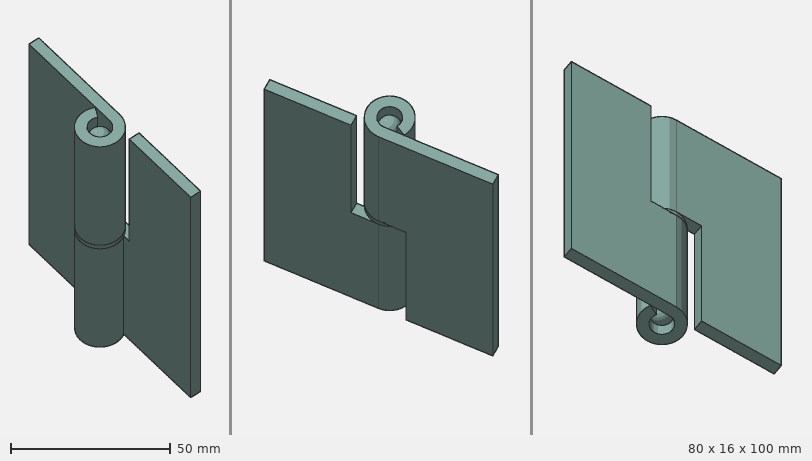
import cadquery as cq
import math

HEIGHT = 100.0
WIDTH = 80.0
THICKNESS = 4.0
PIN_RADIUS = 4.0
WASHER_THICKNESS = 1.8
NOTCH_EDGE = 9.6
CURL_GAP = 0.1
PIN_END_RECESS = 2.0

KNUCKLE_RADIUS = PIN_RADIUS + THICKNESS
KNUCKLE_END = WASHER_THICKNESS / 2
CURL_END_ANGLE = 180 - math.degrees(math.asin((PIN_RADIUS - CURL_GAP) / KNUCKLE_RADIUS))


def polar(radius, angle):
    """Point at a radius and an angle in degrees around the hinge axis."""
    return (radius * math.cos(math.radians(angle)), radius * math.sin(math.radians(angle)))


def make_upper_leaf():
    """Plate on the -X side, with its upper half rolled into an open knuckle."""
    half_width = WIDTH / 2
    half_height = HEIGHT / 2
    curl_middle_angle = (90 + CURL_END_ANGLE - 360) / 2

    rolled_half = (
        cq.Workplane("XY", origin=(0, 0, KNUCKLE_END))
        .moveTo(-half_width, KNUCKLE_RADIUS)
        .lineTo(0, KNUCKLE_RADIUS)
        .threePointArc(polar(KNUCKLE_RADIUS, curl_middle_angle), polar(KNUCKLE_RADIUS, CURL_END_ANGLE))
        .lineTo(*polar(PIN_RADIUS, CURL_END_ANGLE))
        .threePointArc(polar(PIN_RADIUS, curl_middle_angle), (0, PIN_RADIUS))
        .lineTo(-half_width, PIN_RADIUS)
        .close()
        .extrude(half_height - KNUCKLE_END)
    )
    flat_half = (
        cq.Workplane("XY", origin=(-half_width, PIN_RADIUS, -half_height))
        .box(half_width - NOTCH_EDGE, THICKNESS, half_height + KNUCKLE_END, centered=False)
    )
    return rolled_half.union(flat_half)


def make_lower_leaf():
    """The same leaf turned half a revolution about Y, so its knuckle is below."""
    return make_upper_leaf().rotate((0, 0, 0), (0, 1, 0), 180)


def make_washer():
    """Ring that fills the space between the two knuckles."""
    return (
        cq.Workplane("XY", origin=(0, 0, -KNUCKLE_END))
        .circle(KNUCKLE_RADIUS)
        .circle(PIN_RADIUS)
        .extrude(WASHER_THICKNESS)
    )


def make_pin():
    """Round pin with a hemispherical tip at each end."""
    tip = HEIGHT / 2 - PIN_END_RECESS
    shoulder = tip - PIN_RADIUS
    tip_middle = polar(PIN_RADIUS, 45)
    return (
        cq.Workplane("XZ")
        .moveTo(0, -tip)
        .threePointArc((tip_middle[0], -shoulder - tip_middle[1]), (PIN_RADIUS, -shoulder))
        .lineTo(PIN_RADIUS, shoulder)
        .threePointArc((tip_middle[0], shoulder + tip_middle[1]), (0, tip))
        .close()
        .revolve(360, (0, 0, 0), (0, 1, 0))
    )


upper_leaf = make_upper_leaf()
lower_leaf = make_lower_leaf()
washer = make_washer()
pin = make_pin()

result = cq.Compound.makeCompound([upper_leaf.val(), lower_leaf.val(), washer.val(), pin.val()])